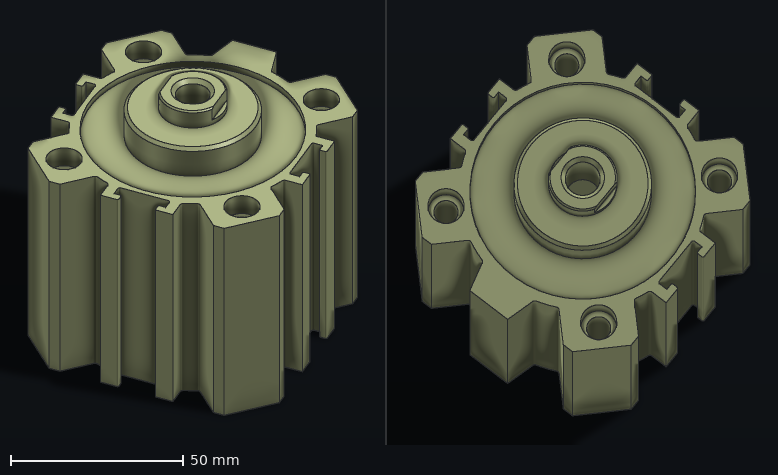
import cadquery as cq
import math

BODY_HEIGHT = 68.0
BODY_WIDTH = 80.0
BODY_LENGTH = 84.0
HALF_WIDTH = BODY_WIDTH / 2
BARREL_RADIUS = 35.95
ROOT_FILLET = 1.0

LUG_WIDTH = 22.0
LUG_REACH = 48.0
BOLT_CIRCLE_RADIUS = 40.0
BOLT_HOLE_DIAMETER = 7.0
BOLT_SEAT_DIAMETER = 10.5
BOLT_SEAT_DEPTH = 6.5

RAIL_WIDTH = 23.0
SLOT_WIDTH = 16.4
SLOT_OPENING = 11.7
SLOT_FLOOR = 34.35
SLOT_LIP = 2.35
SLOT_FILLET = 0.7
LIP_FILLET = 0.4

BOSS_REACH = BODY_LENGTH - HALF_WIDTH
BOSS_TIP_WIDTH = 14.0
BOSS_DRAFT = 15

RECESS_DIAMETER = 65.5
RECESS_DEPTH = 2.0
COLLAR_DIAMETER = 40.0
COLLAR_CHAMFER = 1.0
COLLAR_TOP = BODY_HEIGHT + 8.0

ROD_DIAMETER = 20.0
ROD_TOP = 82.0
ROD_CHAMFER = 0.5
ROD_SEAT = 33.6
FLATS_WIDTH = 17.05
FLATS_HEIGHT = 4.4
THREAD_DIAMETER = 10.1
THREAD_DEPTH = 20.0
THREAD_CHAMFER = 1.3

LUG_ANGLES = (45, 135, 225, 315)
RAIL_ANGLES = (0, 180, 270)
POSITION_TOLERANCE = 0.01


def cylinder(diameter, bottom, top):
    return cq.Workplane("XY", origin=(0, 0, bottom)).circle(diameter / 2).extrude(top - bottom)


def bar(inner, outer, width):
    """Full-height bar along +X, from inner to outer, centred on the X axis."""
    return cq.Workplane("XY").box(outer - inner, width, BODY_HEIGHT, (False, True, False)).translate(
        (inner, 0, 0)
    )


def around_z(shape, angle):
    return shape.rotate((0, 0, 0), (0, 0, 1), angle)


def boss():
    root_half_width = BOSS_TIP_WIDTH / 2 + BOSS_REACH * math.tan(math.radians(BOSS_DRAFT))
    return (
        cq.Workplane("XY")
        .moveTo(-root_half_width, 0)
        .lineTo(-BOSS_TIP_WIDTH / 2, BOSS_REACH)
        .lineTo(BOSS_TIP_WIDTH / 2, BOSS_REACH)
        .lineTo(root_half_width, 0)
        .close()
        .extrude(BODY_HEIGHT)
    )


def t_slot():
    cavity_end = HALF_WIDTH - SLOT_LIP
    cavity = bar(SLOT_FLOOR, cavity_end, SLOT_WIDTH).edges("|Z and <X").fillet(SLOT_FILLET)
    opening = bar(cavity_end, HALF_WIDTH, SLOT_OPENING)
    return cavity.union(opening)


def is_root_edge(edge):
    """True for edges lying on the barrel surface."""
    middle = edge.Center()
    return abs(math.hypot(middle.x, middle.y) - BARREL_RADIUS) < POSITION_TOLERANCE


def is_lip_edge(edge):
    """True for the edges of the lips that face each other across a T-slot mouth."""
    middle = edge.Center()
    across, along = sorted((abs(middle.x), abs(middle.y)))
    at_opening = abs(across - SLOT_OPENING / 2) < POSITION_TOLERANCE
    return at_opening and along > SLOT_FLOOR


def make_profile():
    """Extruded section: barrel, lugs, T-slot rails and port boss."""
    profile = cylinder(2 * BARREL_RADIUS, 0, BODY_HEIGHT)
    for angle in LUG_ANGLES:
        profile = profile.union(around_z(bar(0, LUG_REACH, LUG_WIDTH), angle))
    square = cq.Workplane("XY").box(BODY_WIDTH, BODY_WIDTH, BODY_HEIGHT, (True, True, False))
    profile = profile.intersect(square)
    for angle in RAIL_ANGLES:
        profile = profile.union(around_z(bar(0, HALF_WIDTH, RAIL_WIDTH), angle))
    profile = profile.union(boss())
    profile = profile.edges("|Z").filter(is_root_edge).fillet(ROOT_FILLET)
    for angle in RAIL_ANGLES:
        profile = profile.cut(around_z(t_slot(), angle))
    return profile.edges("|Z").filter(is_lip_edge).fillet(LIP_FILLET)


def make_housing():
    housing = make_profile()
    housing = housing.cut(cylinder(RECESS_DIAMETER, BODY_HEIGHT - RECESS_DEPTH, BODY_HEIGHT))
    collar = cylinder(COLLAR_DIAMETER, BODY_HEIGHT - RECESS_DEPTH, COLLAR_TOP)
    housing = housing.union(collar.faces(">Z").chamfer(COLLAR_CHAMFER))
    for angle in LUG_ANGLES:
        hole = cylinder(BOLT_HOLE_DIAMETER, 0, BODY_HEIGHT)
        seat = cylinder(BOLT_SEAT_DIAMETER, BODY_HEIGHT - BOLT_SEAT_DEPTH, BODY_HEIGHT)
        bolt_cut = hole.union(seat).translate((BOLT_CIRCLE_RADIUS, 0, 0))
        housing = housing.cut(around_z(bolt_cut, angle))
    return housing.cut(cylinder(ROD_DIAMETER, ROD_SEAT, COLLAR_TOP))


def make_rod():
    rod = cylinder(ROD_DIAMETER, ROD_SEAT, ROD_TOP).faces(">Z").chamfer(ROD_CHAMFER)
    flats_bottom = ROD_TOP - FLATS_HEIGHT
    between_flats = cq.Workplane("XY", origin=(0, 0, flats_bottom)).box(
        FLATS_WIDTH, ROD_DIAMETER, FLATS_HEIGHT, (True, True, False)
    )
    rod = rod.cut(cylinder(ROD_DIAMETER, flats_bottom, ROD_TOP).cut(between_flats))
    thread = cylinder(THREAD_DIAMETER, ROD_TOP - THREAD_DEPTH, ROD_TOP)
    countersink = cq.Workplane("XY").add(
        cq.Solid.makeCone(
            THREAD_DIAMETER / 2,
            THREAD_DIAMETER / 2 + THREAD_CHAMFER,
            THREAD_CHAMFER,
            cq.Vector(0, 0, ROD_TOP - THREAD_CHAMFER),
        )
    )
    return rod.cut(thread).cut(countersink)


housing = make_housing()
rod = make_rod()

result = cq.Compound.makeCompound([housing.val(), rod.val()])